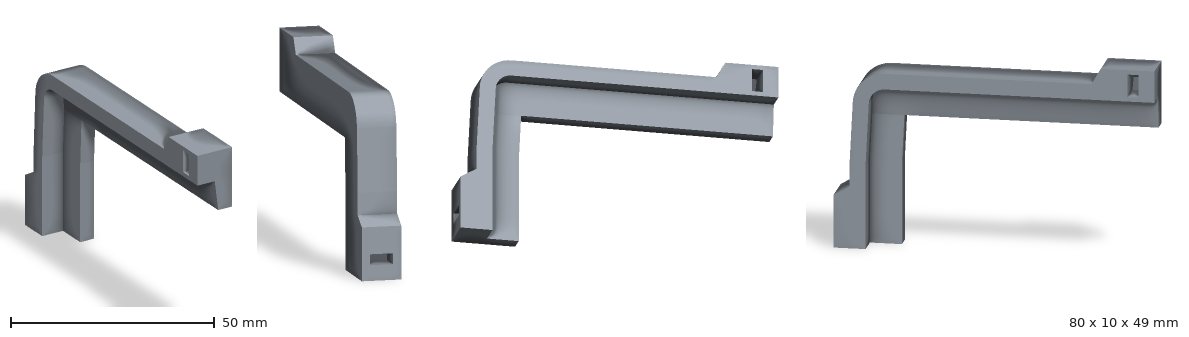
import cadquery as cq
import math

length = 80.0
width = 10.0
height = 49.0

strip_thickness = 4.0
bend_radius = 8.0
lean_angle = math.radians(2.9)
lean_start = 21.4

block_step = 4.0
leg_block_height = 13.4
arm_block_length = 13.4
ramp_angle = math.radians(30.0)

rib_depth = 8.0
rib_setback = 6.0

nut_flats = 5.8
nut_slot = 2.7
hexagon_half_side = math.radians(30.0)
nut_from_end = 5.3

arm_top = height - block_step
arm_underside = arm_top - strip_thickness
rib_underside = arm_underside - rib_depth
ramp_run = block_step * math.tan(ramp_angle)
block_thickness = block_step + strip_thickness
arm_rib_top_setback = width / 2
bend_z = arm_top - bend_radius
lean_height = bend_z + bend_radius * math.sin(lean_angle) - lean_start
bend_x = block_step + bend_radius * math.cos(lean_angle) + lean_height * math.tan(lean_angle)
mid_bend = (math.pi / 2 + lean_angle) / 2
inner_radius = bend_radius - strip_thickness


def bend_point(radius, angle):
    """Point on the bend, with the angle measured up from the -X direction."""
    return (bend_x - radius * math.cos(angle), bend_z + radius * math.sin(angle))


def lean_line_x(inset, z):
    """X of the leaning line that lies the given inset inside the outer side of the leg."""
    x, tangent_z = bend_point(bend_radius - inset, lean_angle)
    return x - (tangent_z - z) * math.tan(lean_angle)


def lean_kink(inset):
    """Point where the upright leg turns into the leaning leg."""
    x = block_step + inset
    z = lean_start - inset * math.tan(lean_angle / 2)
    return (x, z)


def extrude_back(outline, front_y):
    """Extrude an XZ outline from front_y to the back face."""
    return outline.close().extrude(front_y - width).translate((0, front_y, 0))


def make_strip():
    outline = (
        cq.Workplane("XZ")
        .moveTo(0, 0)
        .lineTo(0, leg_block_height)
        .lineTo(block_step, leg_block_height + ramp_run)
        .lineTo(*lean_kink(0))
        .lineTo(*bend_point(bend_radius, lean_angle))
        .threePointArc(bend_point(bend_radius, mid_bend), (bend_x, arm_top))
        .lineTo(length - arm_block_length - ramp_run, arm_top)
        .lineTo(length - arm_block_length, height)
        .lineTo(length, height)
        .lineTo(length, arm_underside)
        .lineTo(bend_x, arm_underside)
        .threePointArc(bend_point(inner_radius, mid_bend), bend_point(inner_radius, lean_angle))
        .lineTo(*lean_kink(strip_thickness))
        .lineTo(block_thickness, 0)
    )
    return extrude_back(outline, 0)


def make_leg_rib():
    rib_inset = strip_thickness + rib_depth
    outline = (
        cq.Workplane("XZ")
        .moveTo(block_thickness, 0)
        .lineTo(*lean_kink(strip_thickness))
        .lineTo(lean_line_x(strip_thickness, rib_underside), rib_underside)
        .lineTo(lean_line_x(rib_inset, rib_underside), rib_underside)
        .lineTo(*lean_kink(rib_inset))
        .lineTo(block_thickness + rib_depth, 0)
    )
    return extrude_back(outline, rib_setback)


def make_arm_rib():
    outline = (
        cq.Workplane("XZ")
        .moveTo(lean_line_x(strip_thickness, rib_underside), rib_underside)
        .lineTo(*bend_point(inner_radius, lean_angle))
        .threePointArc(bend_point(inner_radius, mid_bend), (bend_x, arm_underside))
        .lineTo(length, arm_underside)
        .lineTo(length, rib_underside)
    )
    section = (
        cq.Workplane("YZ")
        .moveTo(arm_rib_top_setback, arm_underside)
        .lineTo(rib_setback, rib_underside)
        .lineTo(width, rib_underside)
        .lineTo(width, arm_underside)
        .close()
        .extrude(length)
    )
    return extrude_back(outline, 0).intersect(section)


def make_nut_pocket(nut_centre_depth):
    """Slot along +Y from y = 0, centred on z = 0 and x = 0, ending in a hexagon point."""
    half_flats = nut_flats / 2
    shoulder = nut_centre_depth + half_flats * math.tan(hexagon_half_side)
    point = nut_centre_depth + half_flats / math.cos(hexagon_half_side)
    return (
        cq.Workplane("YZ")
        .polyline([
            (0, -half_flats),
            (shoulder, -half_flats),
            (point, 0),
            (shoulder, half_flats),
            (0, half_flats),
        ])
        .close()
        .extrude(nut_slot / 2, both=True)
    )


arm_pocket = make_nut_pocket(width / 2).translate(
    (length - nut_from_end, 0, height - block_thickness / 2)
)
leg_pocket = (
    make_nut_pocket(block_thickness / 2)
    .rotate((0, 0, 0), (0, 1, 0), 90)
    .rotate((0, 0, 0), (0, 0, 1), -90)
    .translate((0, width / 2, nut_from_end))
)

result = make_strip().union(make_leg_rib()).union(make_arm_rib())
result = result.cut(arm_pocket).cut(leg_pocket)